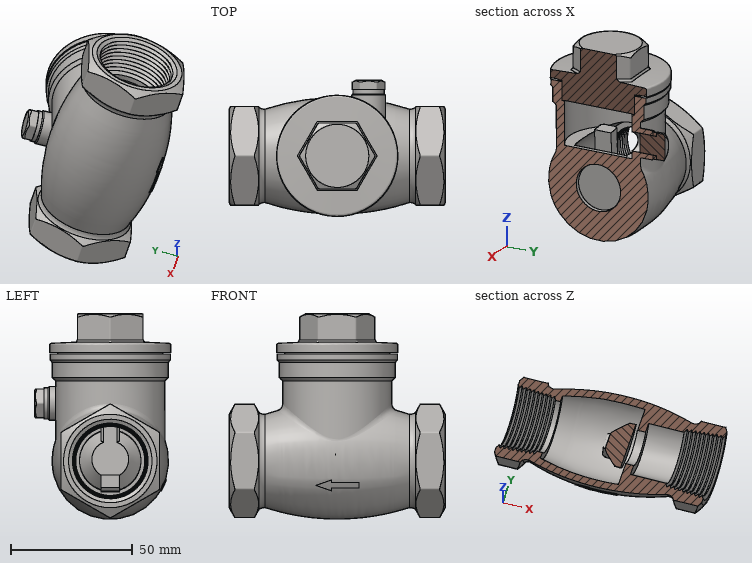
import cadquery as cq
import math


LENGTH = 89.3
END_HEX_FLATS = 40.8
END_HEX_WIDTH = 12.4
END_FACE_DIA = 38.6
END_BACK_DIA = 40.0
CORNER_RADIUS = 0.9
CHAMFER_SLOPE = math.tan(math.radians(30))

HEX_CORNER_COSINE = math.cos(math.radians(30))
MARGIN = 0.9

MOUTH_DIA = 34.5
MOUTH_DEPTH = 0.9
THREAD_START_DIA = 31.25
THREAD_END_DIA = 28.9
THREAD_DEPTH = 1.25
THREAD_PITCH = 1.8
THREAD_COUNT = 9
BORE_DIA = 28.5

BARREL_DIA = 48.2
BARREL_END_DIA = 38.6
BARREL_HALF_LENGTH = 29.9
BARREL_WALL = 3.6
FLARE_RISE = 0.7

NECK_DIA = 45.2
NECK_BORE_DIA = 38.0
NECK_BORE_FLOOR = 16.1
NECK_FILLET = 2.7
COLLAR_DIA = 48.0
COLLAR_CONE_BOTTOM = 33.0
COLLAR_BOTTOM = 34.5
COLLAR_TOP = 40.7
FLANGE_DIA = 49.7
FLANGE_BOTTOM = 41.7
FLANGE_TOP = 44.2

SEAT_X = 8.9
SEAT_THICKNESS = 3.6
SEAT_PORT_DIA = 20.5
CHAMBER_START = -25.45

ARROW_TIP_X = -8.8
ARROW_HEAD_LENGTH = 6.4
ARROW_LENGTH = 17.9
ARROW_HEAD_WIDTH = 4.5
ARROW_SHAFT_WIDTH = 2.3
ARROW_Z = -10.1
ARROW_HEIGHT = 0.4

COVER_DIA = 50.1
COVER_BOTTOM = 44.7
COVER_EDGE_Z = 48.6
COVER_HEX_BASE = 48.9
COVER_APEX = 49.7
COVER_EDGE_FILLET = 0.9
COVER_TOP = 60.8
COVER_HEX_FLATS = 27.15
COVER_HEX_TOP_DIA = 26.1
COVER_FOOT_WIDTH = 0.7
COVER_FOOT_HEIGHT = 1.1
SPIGOT_DIA = 40.0
SPIGOT_LENGTH = 8.9
GASKET_DIA = 43.5

PLUG_X = 12.95
PLUG_Z = 23.75
BOSS_DIA = 14.0
BOSS_END = 25.6
BOSS_CHAMFER = 0.5
WASHER_DIA = 13.0
WASHER_THICKNESS = 1.7
PLUG_SHANK_DIA = 9.5
PLUG_SHANK_LENGTH = 8.0
PLUG_HEX_FLATS = 12.0
PLUG_HEX_TOP_DIA = 10.6
PLUG_TIP = 31.25

DISC_DIA = 25.4
DISC_THICKNESS = 2.7
CONE_TOP_DIA = 16.1
CONE_HEIGHT = 6.25
CONE_EDGE = 0.45
OPENING_ANGLE = 4.0
STRAP_WIDTH = 7.7
STRAP_EDGE = 1.1
TAB_TOP = -6.5
TAB_BOTTOM = -13.0
TAB_RISE = 0.9
TAB_EDGE = 0.5
TAB_CHAMFER = 1.4


def turned(points, axis):
    """Solid of revolution; points are (radius, position along the axis)."""
    if axis == "Z":
        return cq.Workplane("XZ").polyline(points).close().revolve(360, (0, 0), (0, 1))
    swapped = [(position, radius) for radius, position in points]
    return cq.Workplane("XY").polyline(swapped).close().revolve(360, (0, 0), (1, 0))


def rod(dia, start, end, plane):
    """Cylinder along the normal of a plane."""
    return cq.Workplane(plane).workplane(offset=start).circle(dia / 2).extrude(end - start)


def hex_prism(flats, length, corner_radius):
    """Hexagonal prism along +Z from the origin, with corners on X and rounded edges."""
    corners = flats / HEX_CORNER_COSINE
    return cq.Workplane("XY").polygon(6, corners).extrude(length).edges("|Z").fillet(corner_radius)


def hex_envelope(flats, length, bottom_dia, top_dia):
    """Round envelope whose conical ends chamfer the corners of a hexagonal prism."""
    outer = flats / HEX_CORNER_COSINE / 2 + MARGIN
    top_drop = (outer - top_dia / 2) * CHAMFER_SLOPE
    bottom_rise = max(0, (outer - bottom_dia / 2) * CHAMFER_SLOPE)
    points = [(0, 0), (bottom_dia / 2, 0), (outer, bottom_rise), (outer, length - top_drop),
              (top_dia / 2, length), (0, length)]
    return turned(points, "Z")


def barrel(offset, start, end):
    """Barrel about X between two stations, offset from the outer barrel surface."""
    middle = BARREL_DIA / 2
    sag = (BARREL_DIA - BARREL_END_DIA) / 2
    arc_radius = (BARREL_HALF_LENGTH**2 + sag**2) / (2 * sag)

    def radius(x):
        return middle - arc_radius + math.sqrt((arc_radius + offset) ** 2 - x**2)

    half_way = (start + end) / 2
    return (
        cq.Workplane("XY")
        .moveTo(start, 0)
        .lineTo(start, radius(start))
        .threePointArc((half_way, radius(half_way)), (end, radius(end)))
        .lineTo(end, 0)
        .close()
        .revolve(360, (0, 0), (1, 0))
    )


def end_hex():
    """End hexagon on the +X side, with corners on Z."""
    prism = hex_prism(END_HEX_FLATS, END_HEX_WIDTH, CORNER_RADIUS)
    envelope = hex_envelope(END_HEX_FLATS, END_HEX_WIDTH, END_BACK_DIA, END_FACE_DIA)
    hexagon = prism.intersect(envelope).rotate((0, 0, 0), (0, 1, 0), 90)
    return hexagon.translate((LENGTH / 2 - END_HEX_WIDTH, 0, 0))


def end_flare():
    """Neck joining the barrel to the end hexagon, flaring out towards the hexagon."""
    hex_back = LENGTH / 2 - END_HEX_WIDTH
    radius = BARREL_END_DIA / 2
    middle = (BARREL_HALF_LENGTH + hex_back) / 2
    return (
        cq.Workplane("XY")
        .moveTo(BARREL_HALF_LENGTH, 0)
        .lineTo(BARREL_HALF_LENGTH, radius)
        .threePointArc((middle, radius + FLARE_RISE / 4), (hex_back, radius + FLARE_RISE))
        .lineTo(hex_back, 0)
        .close()
        .revolve(360, (0, 0), (1, 0))
    )


def threaded_mouth():
    """Space of one threaded pipe end on the +X side: mouth chamfer and tapering ring grooves."""
    face = LENGTH / 2
    start = face - MOUTH_DEPTH
    taper_step = (THREAD_START_DIA - THREAD_END_DIA) / THREAD_COUNT
    points = [(0, face), (MOUTH_DIA / 2, face)]
    for turn in range(THREAD_COUNT):
        crest = start - turn * THREAD_PITCH
        crest_radius = (THREAD_START_DIA - turn * taper_step) / 2
        points += [(crest_radius, crest), (crest_radius + THREAD_DEPTH, crest - THREAD_PITCH / 2)]
    end = start - THREAD_COUNT * THREAD_PITCH
    points += [(BORE_DIA / 2, end), (0, end)]
    return turned(points, "X")


def flow_arrow():
    """Raised arrow on the -Y side of the barrel, pointing along -X."""
    neck_x = ARROW_TIP_X + ARROW_HEAD_LENGTH
    tail_x = ARROW_TIP_X + ARROW_LENGTH
    head = ARROW_HEAD_WIDTH / 2
    shaft = ARROW_SHAFT_WIDTH / 2
    outline = [(ARROW_TIP_X, 0), (neck_x, head), (neck_x, shaft), (tail_x, shaft),
               (tail_x, -shaft), (neck_x, -shaft), (neck_x, -head)]
    prism = cq.Workplane("XZ", origin=(0, 0, ARROW_Z)).polyline(outline).close().extrude(BARREL_DIA)
    skin = barrel(ARROW_HEIGHT, -BARREL_HALF_LENGTH, BARREL_HALF_LENGTH)
    inside = rod(NECK_BORE_DIA, -BARREL_HALF_LENGTH, BARREL_HALF_LENGTH, "YZ")
    return prism.intersect(skin).cut(inside)


def plug_axis_plane():
    """Plane across the plug axis, with its normal along +Y."""
    return cq.Plane(origin=(PLUG_X, 0, PLUG_Z), xDir=(1, 0, 0), normal=(0, 1, 0))


def make_housing():
    shell = barrel(0, -BARREL_HALF_LENGTH, BARREL_HALF_LENGTH)
    shell = shell.union(rod(NECK_DIA, 0, COLLAR_CONE_BOTTOM, "XY"))
    joint = cq.selectors.BoxSelector(
        (-BARREL_HALF_LENGTH + MARGIN, -BARREL_DIA, MARGIN),
        (BARREL_HALF_LENGTH - MARGIN, BARREL_DIA, COLLAR_CONE_BOTTOM - MARGIN),
        boundingbox=False,
    )
    shell = shell.edges(joint).edges("not %LINE").fillet(NECK_FILLET)
    rim = turned(
        [(0, COLLAR_CONE_BOTTOM), (NECK_DIA / 2, COLLAR_CONE_BOTTOM), (COLLAR_DIA / 2, COLLAR_BOTTOM),
         (COLLAR_DIA / 2, COLLAR_TOP), (FLANGE_DIA / 2, FLANGE_BOTTOM), (FLANGE_DIA / 2, FLANGE_TOP),
         (0, FLANGE_TOP)],
        "Z",
    )
    shell = shell.union(rim)
    boss = rod(BOSS_DIA, 0, BOSS_END, plug_axis_plane()).faces(">Y").chamfer(BOSS_CHAMFER)
    shell = shell.union(boss).union(flow_arrow())
    for side in (end_hex(), end_flare()):
        shell = shell.union(side).union(side.mirror("YZ"))

    chamber = barrel(-BARREL_WALL, CHAMBER_START, SEAT_X)
    inlet = rod(BORE_DIA, SEAT_X + SEAT_THICKNESS, LENGTH / 2, "YZ")
    outlet = rod(BORE_DIA, -LENGTH / 2, SEAT_X, "YZ")
    port = rod(SEAT_PORT_DIA, SEAT_X, LENGTH / 2, "YZ")
    neck_bore = rod(NECK_BORE_DIA, NECK_BORE_FLOOR, FLANGE_TOP, "XY")
    cover_bore = rod(SPIGOT_DIA, COVER_BOTTOM - SPIGOT_LENGTH, FLANGE_TOP, "XY")
    plug_hole = rod(PLUG_SHANK_DIA, NECK_BORE_DIA / 2 - PLUG_X, BOSS_END, plug_axis_plane())
    thread = threaded_mouth()
    spaces = (chamber, inlet, outlet, port, neck_bore, cover_bore, plug_hole, thread, thread.mirror("YZ"))
    for space in spaces:
        shell = shell.cut(space)
    return shell


def make_gasket():
    ring = rod(GASKET_DIA, FLANGE_TOP, COVER_BOTTOM, "XY")
    return ring.cut(rod(SPIGOT_DIA, FLANGE_TOP, COVER_BOTTOM, "XY"))


def cover_hexagon():
    """Chamfered hexagon of the cover on a splayed foot, standing on the origin."""
    height = COVER_TOP - COVER_HEX_BASE
    prism = hex_prism(COVER_HEX_FLATS, height, CORNER_RADIUS)
    envelope = hex_envelope(COVER_HEX_FLATS, height, COVER_DIA, COVER_HEX_TOP_DIA)
    spread = math.degrees(math.atan(COVER_FOOT_WIDTH / COVER_FOOT_HEIGHT))
    foot = (
        cq.Workplane("XY")
        .polygon(6, (COVER_HEX_FLATS + 2 * COVER_FOOT_WIDTH) / HEX_CORNER_COSINE)
        .extrude(COVER_FOOT_HEIGHT, taper=spread)
        .edges("not #Z")
        .edges("not |Z")
        .fillet(CORNER_RADIUS)
    )
    return prism.intersect(envelope).union(foot)


def make_cover():
    flange = turned(
        [(0, COVER_BOTTOM), (COVER_DIA / 2, COVER_BOTTOM), (COVER_DIA / 2, COVER_EDGE_Z), (0, COVER_APEX)],
        "Z",
    )
    flange = flange.edges("%CIRCLE").edges(">Z").fillet(COVER_EDGE_FILLET)
    spigot = rod(SPIGOT_DIA, COVER_BOTTOM - SPIGOT_LENGTH, COVER_BOTTOM, "XY")
    return flange.union(cover_hexagon().translate((0, 0, COVER_HEX_BASE))).union(spigot)


def clapper_block(front_x, back_x, bottom, top):
    """Block of the strap width between two stations along X and two heights."""
    centered = (False, True, False)
    block = cq.Workplane("XY").box(back_x - front_x, STRAP_WIDTH, top - bottom, centered=centered)
    return block.translate((front_x, 0, bottom))


def make_clapper():
    face_x = SEAT_X - DISC_THICKNESS
    top_x = face_x - CONE_HEIGHT
    plate = turned(
        [(0, SEAT_X), (DISC_DIA / 2, SEAT_X), (DISC_DIA / 2, face_x), (CONE_TOP_DIA / 2, top_x + CONE_EDGE),
         (CONE_TOP_DIA / 2 - CONE_EDGE, top_x), (0, top_x)],
        "X",
    )
    strap = clapper_block(top_x, face_x, 0, PLUG_Z).edges("|Z and <X").chamfer(STRAP_EDGE)
    tab = clapper_block(top_x - TAB_RISE, face_x + DISC_THICKNESS / 2, TAB_BOTTOM, TAB_TOP)
    tab = tab.edges("<X and <Z").chamfer(TAB_CHAMFER).edges("|Z and <X").fillet(TAB_EDGE)
    closed = plate.union(strap).union(tab)
    pivot_z = DISC_DIA / 2
    return closed.rotate((SEAT_X, 0, pivot_z), (SEAT_X, 1, pivot_z), OPENING_ANGLE)


def make_washer():
    end = BOSS_END + WASHER_THICKNESS
    ring = rod(WASHER_DIA, BOSS_END, end, plug_axis_plane())
    return ring.cut(rod(PLUG_SHANK_DIA, BOSS_END, end, plug_axis_plane()))


def make_plug():
    head_start = BOSS_END + WASHER_THICKNESS
    head_height = PLUG_TIP - head_start
    prism = hex_prism(PLUG_HEX_FLATS, head_height, CORNER_RADIUS)
    envelope = hex_envelope(PLUG_HEX_FLATS, head_height, BOSS_DIA, PLUG_HEX_TOP_DIA)
    head = prism.intersect(envelope).rotate((0, 0, 0), (1, 0, 0), -90)
    head = head.translate((PLUG_X, head_start, PLUG_Z))
    return head.union(rod(PLUG_SHANK_DIA, head_start - PLUG_SHANK_LENGTH, head_start, plug_axis_plane()))


housing = make_housing()
gasket = make_gasket()
cover = make_cover()
clapper = make_clapper()
washer = make_washer()
plug = make_plug()

result = cq.Compound.makeCompound(
    [housing.val(), gasket.val(), cover.val(), clapper.val(), washer.val(), plug.val()]
)